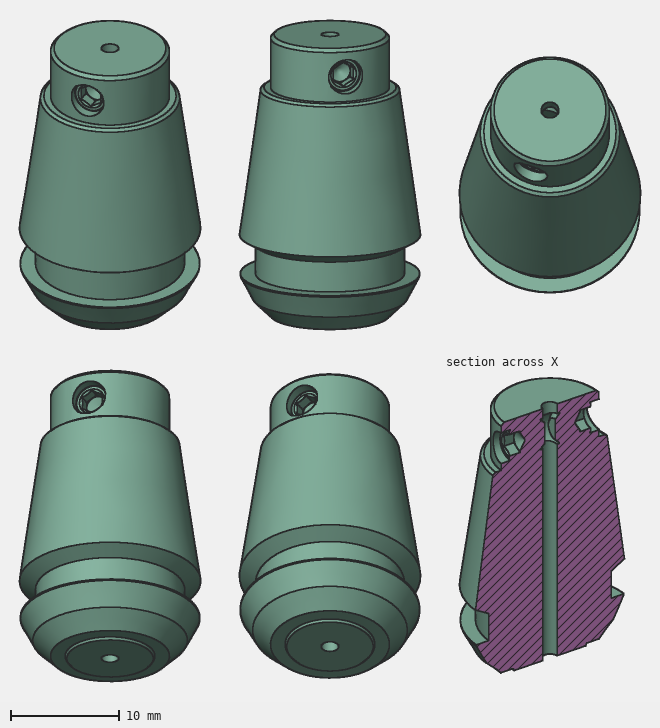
import cadquery as cq
import math

overall_height = 27.0
boss_height = 0.25
boss_bottom_radius = 4.0
boss_top_radius = 4.15
base_radius = 5.5
steep_cone_start = 1.86
steep_cone_radius = 7.15
flange_radius = 16.6 / 2
flange_rim_bottom = 4.06
groove_bottom = 4.2
groove_radius = 13.8 / 2
groove_top = 7.05
taper_bottom = 7.92
taper_bottom_radius = 16.76 / 2
taper_half_angle = 8.0

neck_radius = 11.0 / 2
neck_length = 5.05
neck_chamfer = 0.33
shoulder_z = overall_height - neck_length
shoulder_edge_height = 0.23
shoulder_edge_width = 0.33
taper_top = shoulder_z - shoulder_edge_height
taper_top_radius = taper_bottom_radius - (taper_top - taper_bottom) * math.tan(math.radians(taper_half_angle))

bore_radius = 1.6 / 2

cross_hole_z = overall_height - 2.7
cross_hole_radius = 3.24 / 2
screw_length = 4.0
screw_tip_y = 0.58
screw_tip_chamfer = 0.5
screw_head_chamfer = 0.12
screw_face_y = screw_tip_y + screw_length

socket_across_flats = 1.95
socket_across_corners = socket_across_flats / math.cos(math.radians(30))
socket_depth = 1.2
socket_mouth_radius = 2.45 / 2
socket_mouth_depth = 0.15
drill_point_half_angle = 60.0


def make_body():
    """Revolve the outer profile around Z."""
    outline = [
        (0, 0),
        (boss_bottom_radius, 0),
        (boss_top_radius, boss_height),
        (base_radius, boss_height),
        (steep_cone_radius, steep_cone_start),
        (flange_radius, flange_rim_bottom),
        (flange_radius, groove_bottom),
        (groove_radius, groove_bottom),
        (groove_radius, groove_top),
        (taper_bottom_radius, taper_bottom),
        (taper_top_radius, taper_top),
        (taper_top_radius - shoulder_edge_width, shoulder_z),
        (neck_radius, shoulder_z),
        (neck_radius, overall_height - neck_chamfer),
        (neck_radius - neck_chamfer, overall_height),
        (0, overall_height),
    ]
    return cq.Workplane("XZ").polyline(outline).close().revolve(360, (0, 0), (0, 1))


def make_bore():
    """Axial through hole."""
    return cq.Workplane("XY").circle(bore_radius).extrude(overall_height)


def make_cross_hole():
    """Hole along Y through the whole neck."""
    return screw_plane(-neck_radius).circle(cross_hole_radius).extrude(2 * neck_radius)


def screw_plane(distance):
    """Plane across the front screw's axis, facing outward along -Y."""
    return cq.Workplane(cq.Plane((0, -distance, cross_hole_z), (1, 0, 0), (0, -1, 0)))


def cone_on_screw_axis(distance, inner_radius, outer_radius, length):
    """Cone running outward along the front screw's axis."""
    start = cq.Vector(0, -distance, cross_hole_z)
    return cq.Workplane(cq.Solid.makeCone(inner_radius, outer_radius, length, start, cq.Vector(0, -1, 0)))


def make_socket():
    """Hexagon socket with a conical drill point and a countersunk mouth."""
    floor_y = screw_face_y - socket_depth
    hexagon = (
        screw_plane(floor_y)
        .transformed(rotate=(0, 0, 30))
        .polygon(6, socket_across_corners)
        .extrude(socket_depth)
    )
    flat_radius = socket_across_flats / 2
    point_depth = flat_radius / math.tan(math.radians(drill_point_half_angle))
    point = cone_on_screw_axis(floor_y - point_depth, 0, flat_radius, point_depth)
    mouth_y = screw_face_y - socket_mouth_depth
    mouth = cone_on_screw_axis(mouth_y, flat_radius, socket_mouth_radius, socket_mouth_depth)
    return hexagon.union(point).union(mouth)


def make_screw():
    """Front set screw, chamfered at both ends."""
    shank = screw_plane(screw_tip_y).circle(cross_hole_radius).extrude(screw_length)
    shank = shank.faces(">Y").chamfer(screw_tip_chamfer)
    shank = shank.faces("<Y").chamfer(screw_head_chamfer)
    return shank.cut(make_socket())


result = make_body().cut(make_bore()).cut(make_cross_hole())
front_screw = make_screw()
for turn in (0, 180):
    result = result.union(front_screw.rotate((0, 0, 0), (0, 0, 1), turn))